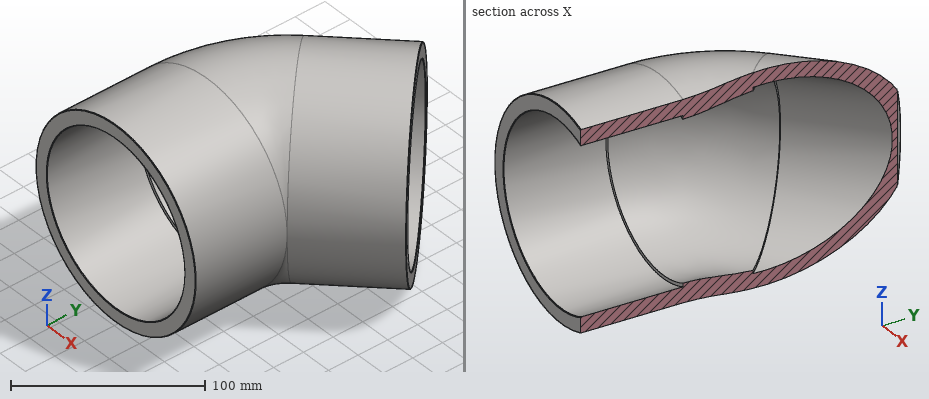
import cadquery as cq
import math

outer_diameter = 128.0
socket_diameter = 110.0
bend_bore_diameter = 106.0
overall_length = 195.4
bend_angle = 45
rim_chamfer = 0.4

outer_radius = outer_diameter / 2
socket_radius = socket_diameter / 2
slant = math.sin(math.radians(bend_angle))
socket_depth = (overall_length - (outer_diameter - rim_chamfer) * slant) / (1 + slant)

pivot = (outer_radius, 0, 0)
pivot_axis_end = (outer_radius, 0, 1)


def bend(diameter):
    """Solid bend of round section, starting on the plane Y = 0 and turning toward +X."""
    section = cq.Workplane("XZ").circle(diameter / 2)
    return section.revolve(bend_angle, (outer_radius, 2), (outer_radius, 0))


def socket_arm():
    """Solid arm reaching from the bend to its mouth in -Y, with a chamfered outer rim."""
    arm = cq.Workplane("XZ").circle(outer_radius).extrude(socket_depth)
    return arm.faces("<Y").chamfer(rim_chamfer)


def socket_cavity():
    """Socket bore with a mouth that flares to a chamfer."""
    mouth_radius = socket_radius + rim_chamfer
    profile = (
        cq.Workplane("XY")
        .lineTo(socket_radius, 0)
        .lineTo(socket_radius, rim_chamfer - socket_depth)
        .lineTo(mouth_radius, -socket_depth)
        .lineTo(0, -socket_depth)
        .close()
    )
    return profile.revolve(360, (0, 0), (0, 1))


def at_far_end(body):
    """Mirror a body of the first arm across the bend to the second arm."""
    flipped = body.mirror("XZ")
    return flipped.rotate(pivot, pivot_axis_end, -bend_angle)


result = bend(outer_diameter).union(socket_arm()).union(at_far_end(socket_arm()))
result = result.cut(bend(bend_bore_diameter))
result = result.cut(socket_cavity()).cut(at_far_end(socket_cavity()))